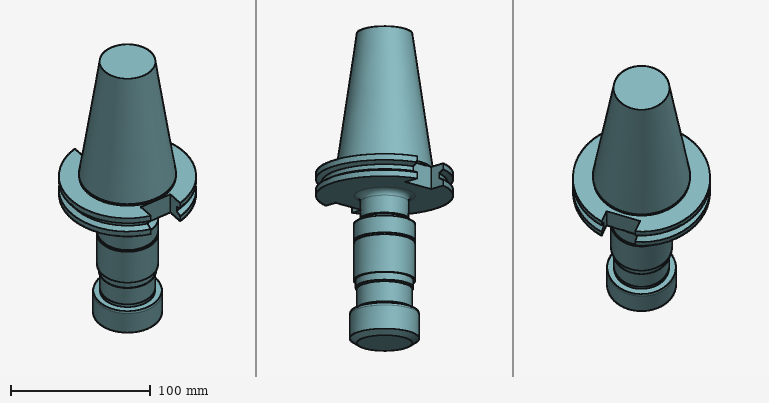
import cadquery as cq

total_length = 231.0
flange_bottom = 110.1
flange_top = 126.8

nut_diameter = 49.9
nut_top = 22.9
nut_bottom_chamfer_width = 5.0
nut_bottom_chamfer_height = 3.5
nut_top_chamfer_width = 0.5
nut_top_chamfer_height = 1.6

body_diameter = 40.0
body_base_diameter = 39.7
body_base_top = 25.5
body_top = 40.2
relief_diameter = 34.0
relief_top = 41.3
collar_diameter = 41.5
collar_top = 46.9

sleeve_diameter = 44.0
ring_groove_bottom = 74.8
ring_groove_width = 1.5
ring_groove_depth = 0.5
sleeve_top = 88.7
shoulder_top = 91.5
shoulder_diameter = 35.3
shoulder_lip_height = 1.0

neck_diameter = 34.6
neck_fillet = 4.6

flange_diameter = 98.4
v_groove_diameter = 90.0
v_groove_mouth = 7.6
v_groove_floor = 3.5
slot_width = 25.6
left_slot_floor = 37.5
right_slot_floor = 35.0

gauge_diameter = 70.0
taper_rate = 7 / 24
taper_bottom = 128.4
taper_relief_diameter = 69.5
taper_top_diameter = gauge_diameter - taper_rate * (total_length - taper_bottom)


def revolve_profile(points):
    """Close (diameter, height) points onto the Z axis and revolve them."""
    outline = [(0, points[0][1])]
    outline += [(diameter / 2, height) for diameter, height in points]
    outline.append((0, points[-1][1]))
    profile = cq.Workplane("XZ").polyline(outline).close()
    return profile.revolve(360, (0, 0), (0, 1))


def make_nut():
    return revolve_profile([
        (nut_diameter - 2 * nut_bottom_chamfer_width, 0),
        (nut_diameter, nut_bottom_chamfer_height),
        (nut_diameter, nut_top - nut_top_chamfer_height),
        (nut_diameter - 2 * nut_top_chamfer_width, nut_top),
    ])


def make_body():
    return revolve_profile([
        (body_base_diameter, nut_top),
        (body_base_diameter, body_base_top),
        (body_diameter, body_base_top),
        (body_diameter, body_top),
        (relief_diameter, body_top),
        (relief_diameter, relief_top),
        (collar_diameter, relief_top),
        (collar_diameter, collar_top),
    ])


def make_sleeve():
    groove_diameter = sleeve_diameter - 2 * ring_groove_depth
    groove_top = ring_groove_bottom + ring_groove_width
    return revolve_profile([
        (sleeve_diameter, collar_top),
        (sleeve_diameter, ring_groove_bottom),
        (groove_diameter, ring_groove_bottom),
        (groove_diameter, groove_top),
        (sleeve_diameter, groove_top),
        (sleeve_diameter, sleeve_top),
        (shoulder_diameter, shoulder_top),
        (shoulder_diameter, shoulder_top + shoulder_lip_height),
    ])


def make_neck():
    radius = neck_diameter / 2
    fillet_center = (radius + neck_fillet, flange_bottom - neck_fillet)
    diagonal = neck_fillet * 0.5 ** 0.5
    fillet_middle = (fillet_center[0] - diagonal, fillet_center[1] + diagonal)
    profile = (
        cq.Workplane("XZ")
        .moveTo(0, shoulder_top)
        .lineTo(radius, shoulder_top)
        .lineTo(radius, flange_bottom - neck_fillet)
        .threePointArc(fillet_middle, (radius + neck_fillet, flange_bottom))
        .lineTo(0, flange_bottom)
        .close()
    )
    return profile.revolve(360, (0, 0), (0, 1))


def make_slot(direction, floor):
    """Cutter for a driving slot, open outward along X in the given direction."""
    depth = flange_diameter / 2 - floor
    height = flange_top - flange_bottom
    center = (direction * (floor + depth / 2), 0, flange_bottom + height / 2)
    return cq.Workplane("XY").box(depth, slot_width, height).translate(center)


def make_flange():
    middle = (flange_bottom + flange_top) / 2
    flange = revolve_profile([
        (flange_diameter, flange_bottom),
        (flange_diameter, middle - v_groove_mouth / 2),
        (v_groove_diameter, middle - v_groove_floor / 2),
        (v_groove_diameter, middle + v_groove_floor / 2),
        (flange_diameter, middle + v_groove_mouth / 2),
        (flange_diameter, flange_top),
    ])
    for direction, floor in ((-1, left_slot_floor), (1, right_slot_floor)):
        flange = flange.cut(make_slot(direction, floor))
    return flange


def make_taper():
    return revolve_profile([
        (taper_relief_diameter, flange_top),
        (taper_relief_diameter, taper_bottom),
        (gauge_diameter, taper_bottom),
        (taper_top_diameter, total_length),
    ])


result = make_nut()
for section in (make_body(), make_sleeve(), make_neck(), make_flange(), make_taper()):
    result = result.union(section)